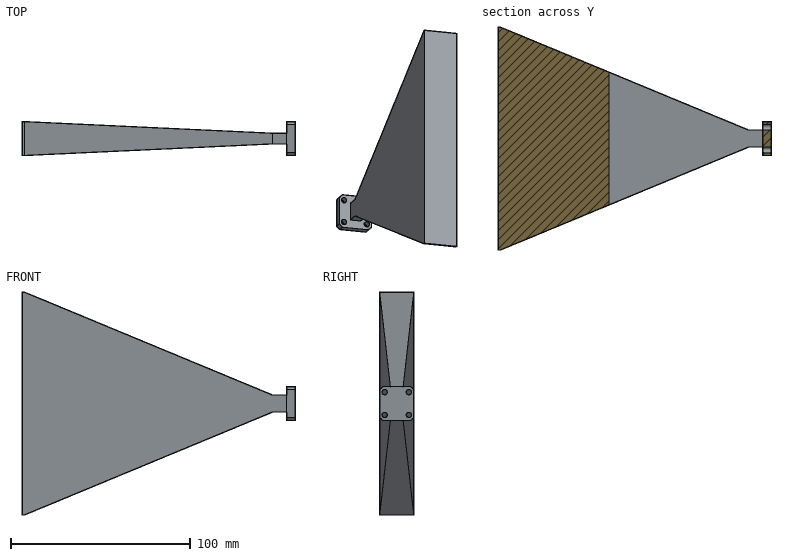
import cadquery as cq

total_length = 152.4
mouth_width = 19.05
mouth_height = 124.46
lip_length = 1.27

guide_width = 6.096
guide_height = 9.652
guide_length = 7.874

flange_side = 19.05
flange_thickness = 4.826
flange_chamfer = 1.778

hole_diameter = 2.946
hole_pitch_y = 13.462
hole_pitch_z = 12.7

flange_start = total_length - flange_thickness
guide_start = flange_start - guide_length
taper_length = guide_start - lip_length


def section_at(x):
    """Workplane across the horn axis at station x: local X is Y, local Y is Z."""
    return cq.Workplane("YZ", origin=(x, 0, 0))


def make_lip():
    return section_at(0).rect(mouth_width, mouth_height).extrude(lip_length)


def make_taper():
    """Straight-sided flare from the mouth rim down to the waveguide."""
    return (
        section_at(lip_length)
        .rect(mouth_width, mouth_height)
        .workplane(offset=taper_length)
        .rect(guide_width, guide_height)
        .loft(ruled=True)
    )


def make_guide():
    return section_at(guide_start).rect(guide_width, guide_height).extrude(guide_length)


def make_flange():
    """Square plate with chamfered corners and four through holes."""
    plate = section_at(flange_start).rect(flange_side, flange_side).extrude(flange_thickness)
    plate = plate.edges("|X").chamfer(flange_chamfer)
    holes = (
        section_at(flange_start)
        .rect(hole_pitch_y, hole_pitch_z, forConstruction=True)
        .vertices()
        .circle(hole_diameter / 2)
        .extrude(flange_thickness)
    )
    return plate.cut(holes)


result = make_lip().union(make_taper()).union(make_guide()).union(make_flange())